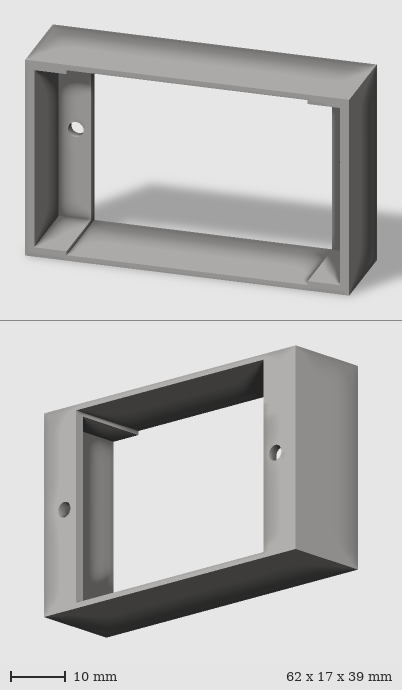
import cadquery as cq

length = 62.0
depth = 17.0
height = 39.0

window_length = 46.1
window_height = 36.8

pocket_length = 58.5
pocket_height = 35.3
tab_thickness = 1.9

hole_diameter = 3.0
hole_spacing = 51.95

front_y = -depth / 2
pocket_depth = depth - tab_thickness


def centred_box(size_x, size_y, size_z):
    """Box centred on X and Z that starts at the front face and runs back along Y."""
    return cq.Workplane("XY").box(size_x, size_y, size_z).translate((0, front_y + size_y / 2, 0))


frame = centred_box(length, depth, height)
window = centred_box(window_length, depth, window_height)
pockets = centred_box(pocket_length, pocket_depth, pocket_height)

mounting_holes = (
    cq.Workplane("XZ")
    .pushPoints([(side * hole_spacing / 2, 0) for side in (-1, 1)])
    .circle(hole_diameter / 2)
    .extrude(depth, both=True)
)

result = frame.cut(window).cut(pockets).cut(mounting_holes)